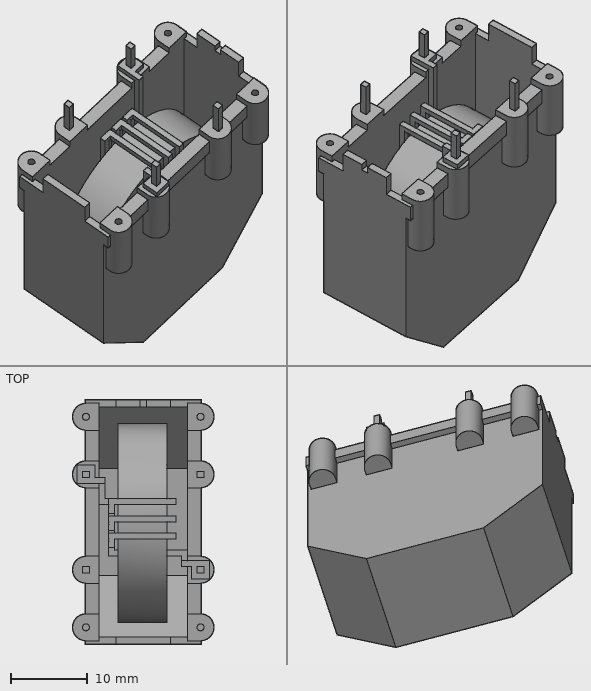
import cadquery as cq

HOUSING_LENGTH = 32.0
BODY_WIDTH = 13.6
RIM_WIDTH = 15.2
CAVITY_WIDTH = 11.55
END_WALL = 1.0
FLOOR_THICKNESS = 1.0
TAPER = 8.0
RIM_BOTTOM = 29.55
RIM_TOP = 32.0

TAB_WIDTH = 7.2
TAB_TOP = 35.0
TAB_NOTCH_WIDTH = 0.9
TAB_NOTCH_DEPTH = 1.0

POST_X = 7.5
SCREW_POST_Y = 13.75
PIN_POST_Y = 6.25
POSTS_WIDTH = 18.5
POST_RADIUS = POSTS_WIDTH / 2 - POST_X
POST_BOTTOM = 24.0
POST_TOP = 33.02
SCREW_HOLE_DIAMETER = 0.9
SCREW_HOLE_DEPTH = 7.0

PIN_X_SIZE = 0.9
PIN_Y_SIZE = 0.8
PIN_TOP = 38.0

CORE_WIDTH = 6.4
CORE_X = -0.1
CORE_RADIUS = 13.0
CORE_BORE_RADIUS = 7.6
CORE_Y = -0.15
CORE_Z = 15.7

WIRE = 0.8
TURNS = 3
TURN_PITCH = 2.25
FIRST_TURN_Y = 2.65
WINDING_WIDTH = 8.8
WINDING_TOP = 30.15
RETURN_TOP = 21.28
PAD_SIZE = 2.4


def block(x_ends, y_ends, z_ends):
    """Box between two limits, in either order, on each axis."""
    limits = [sorted(ends) for ends in (x_ends, y_ends, z_ends)]
    sizes = [high - low for low, high in limits]
    corner = [low for low, high in limits]
    return cq.Workplane("XY").box(*sizes, centered=False).translate(tuple(corner))


def tapered_prism(length, width, bottom, top):
    """Prism across X whose two lower edges are cut off at 45 degrees."""
    half = length / 2
    profile = [
        (-half, top),
        (-half, bottom + TAPER),
        (-half + TAPER, bottom),
        (half - TAPER, bottom),
        (half, bottom + TAPER),
        (half, top),
    ]
    return cq.Workplane("YZ").polyline(profile).close().extrude(width / 2, both=True)


def make_post(side, y):
    """Round post outside a long wall, carried straight through to the cavity face."""
    height = POST_TOP - POST_BOTTOM
    post = cq.Workplane("XY", origin=(side * POST_X, y, POST_BOTTOM)).circle(POST_RADIUS).extrude(height)
    bridge = block(
        (side * CAVITY_WIDTH / 2, side * POST_X),
        (y - POST_RADIUS, y + POST_RADIUS),
        (POST_BOTTOM, POST_TOP),
    )
    return post.union(bridge)


def make_housing():
    half_length = HOUSING_LENGTH / 2
    housing = tapered_prism(HOUSING_LENGTH, BODY_WIDTH, 0, RIM_TOP)
    housing = housing.union(
        block((-RIM_WIDTH / 2, RIM_WIDTH / 2), (-half_length, half_length), (RIM_BOTTOM, RIM_TOP))
    )
    for side in (-1, 1):
        for y in (-SCREW_POST_Y, -PIN_POST_Y, PIN_POST_Y, SCREW_POST_Y):
            housing = housing.union(make_post(side, y))

    cavity_length = HOUSING_LENGTH - 2 * END_WALL
    housing = housing.cut(tapered_prism(cavity_length, CAVITY_WIDTH, FLOOR_THICKNESS, POST_TOP))

    for end in (-1, 1):
        housing = housing.union(
            block(
                (-TAB_WIDTH / 2, TAB_WIDTH / 2),
                (end * (half_length - END_WALL), end * half_length),
                (RIM_TOP, TAB_TOP),
            )
        )
    housing = housing.cut(
        block(
            (-TAB_NOTCH_WIDTH / 2, TAB_NOTCH_WIDTH / 2),
            (half_length - END_WALL, half_length),
            (TAB_TOP - TAB_NOTCH_DEPTH, TAB_TOP),
        )
    )

    screw_holes = (
        cq.Workplane("XY", origin=(0, 0, POST_TOP))
        .rect(2 * POST_X, 2 * SCREW_POST_Y, forConstruction=True)
        .vertices()
        .circle(SCREW_HOLE_DIAMETER / 2)
        .extrude(-SCREW_HOLE_DEPTH)
    )
    return housing.cut(screw_holes)


def make_core():
    return (
        cq.Workplane("YZ", origin=(CORE_X - CORE_WIDTH / 2, CORE_Y, CORE_Z))
        .circle(CORE_RADIUS)
        .circle(CORE_BORE_RADIUS)
        .extrude(CORE_WIDTH)
    )


def make_pin(x, y, bottom):
    return block(
        (x - PIN_X_SIZE / 2, x + PIN_X_SIZE / 2),
        (y - PIN_Y_SIZE / 2, y + PIN_Y_SIZE / 2),
        (bottom, PIN_TOP),
    )


def wire(start, end):
    """Straight square wire between two centre points, with half a wire added at both ends."""
    spans = [(min(a, b) - WIRE / 2, max(a, b) + WIRE / 2) for a, b in zip(start, end)]
    return block(*spans)


def wire_path(points):
    """Square wire that follows a chain of centre points."""
    path = wire(points[0], points[1])
    for start, end in zip(points[1:], points[2:]):
        path = path.union(wire(start, end))
    return path


def make_lead_end(side):
    """Pad on a post top with its pin; side is -1 for the (-X, +Y) post, 1 for the (+X, -Y) post."""
    x = side * POST_X
    y = -side * PIN_POST_Y
    pad = block(
        (x - PAD_SIZE / 2, x + PAD_SIZE / 2),
        (y - PAD_SIZE / 2, y + PAD_SIZE / 2),
        (POST_TOP, POST_TOP + WIRE),
    )
    return pad.union(make_pin(x, y, POST_TOP + WIRE))


def make_winding():
    """Winding with its two leads and their pins, bent from one wire."""
    turn_reach = (WINDING_WIDTH - WIRE) / 2
    turn_left = CORE_X - turn_reach
    turn_right = CORE_X + turn_reach
    lead_x = (CAVITY_WIDTH - WIRE) / 2
    lead_y = PIN_POST_Y - (PAD_SIZE - WIRE) / 2
    top_z = WINDING_TOP - WIRE / 2
    return_z = RETURN_TOP - WIRE / 2
    pad_z = POST_TOP + WIRE / 2
    last_y = FIRST_TURN_Y - TURNS * TURN_PITCH

    points = [
        (-POST_X, lead_y, pad_z),
        (-lead_x, lead_y, pad_z),
        (-lead_x, lead_y, return_z),
        (-lead_x, FIRST_TURN_Y, return_z),
    ]
    for turn in range(TURNS):
        y = FIRST_TURN_Y - turn * TURN_PITCH
        half_way_y = y - TURN_PITCH / 2
        points += [
            (turn_right, y, return_z),
            (turn_right, y, top_z),
            (turn_left, y, top_z),
            (turn_left, half_way_y, top_z),
            (turn_left, half_way_y, return_z),
            (turn_left, y - TURN_PITCH, return_z),
        ]
    points += [
        (lead_x, last_y, return_z),
        (lead_x, -lead_y, return_z),
        (lead_x, -lead_y, pad_z),
        (POST_X, -lead_y, pad_z),
    ]
    winding = wire_path(points)
    for side in (-1, 1):
        winding = winding.union(make_lead_end(side))
    return winding


housing = make_housing()
core = make_core()
winding = make_winding()
pins = [make_pin(side * POST_X, side * PIN_POST_Y, POST_TOP) for side in (-1, 1)]

result = cq.Compound.makeCompound(
    [housing.val(), core.val(), winding.val(), *[pin.val() for pin in pins]]
)